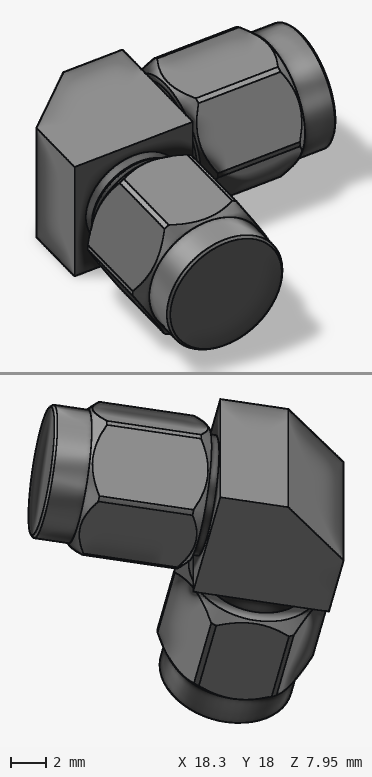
import cadquery as cq
import math


overall_x = 18.34
overall_y = 17.97

block_x = 7.65
block_y = 7.85
block_z = 7.95
bevel_x = 3.5
bevel_y = block_y / 2

nut_across_flats = 7.95
nut_corner_diameter = 8.99
nut_face_diameter = 7.7
nut_bevel_length = 0.73

sleeve_edge_chamfer = 0.15

x_arm_neck_diameter = 6.35
x_arm_nut_start = 5.47
x_arm_nut_length = 6.35
x_arm_sleeve_diameter = 7.68
x_arm_end = overall_x - nut_corner_diameter / 2
groove_center = 4.5
groove_width = 0.07
groove_depth = 0.15

y_arm_neck_diameter = 6.91
y_arm_nut_start = 4.44
y_arm_nut_length = 6.91
y_arm_sleeve_diameter = 7.65
y_arm_end = overall_y - nut_corner_diameter / 2


def cylinder(diameter, start, end):
    """Cylinder on the Z axis between two heights."""
    return cq.Workplane("XY").workplane(offset=start).circle(diameter / 2).extrude(end - start)


def make_block():
    left, right = -block_x / 2, block_x / 2
    front, back = -block_y / 2, block_y / 2
    outline = [
        (left, back),
        (right, back),
        (right, front),
        (left + bevel_x, front),
        (left, front + bevel_y),
    ]
    return cq.Workplane("XY").polyline(outline).close().extrude(block_z / 2, both=True)


def make_nut(start, length):
    """Hexagon along Z with flats facing +/-Y, its corners bevelled by a turned profile."""
    point_to_point = nut_across_flats / math.cos(math.pi / 6)
    hexagon = cq.Workplane("XY").workplane(offset=start).polygon(6, point_to_point).extrude(length)
    corner_radius = nut_corner_diameter / 2
    face_radius = nut_face_diameter / 2
    end = start + length
    turned = (
        cq.Workplane("XZ")
        .moveTo(0, start)
        .lineTo(face_radius, start)
        .lineTo(corner_radius, start + nut_bevel_length)
        .lineTo(corner_radius, end - nut_bevel_length)
        .lineTo(face_radius, end)
        .lineTo(0, end)
        .close()
        .revolve(360, (0, 0, 0), (0, 1, 0))
    )
    return hexagon.intersect(turned)


def make_arm(neck_diameter, nut_start, nut_length, sleeve_diameter, end):
    """Neck, nut and sleeve stacked along +Z from the origin."""
    nut_end = nut_start + nut_length
    neck = cylinder(neck_diameter, 0, nut_start)
    nut = make_nut(nut_start, nut_length)
    sleeve = cylinder(sleeve_diameter, nut_end, end).faces(">Z").chamfer(sleeve_edge_chamfer)
    return neck.union(nut).union(sleeve)


def make_neck_groove():
    """Ring removed from the neck of the X arm, built along +Z."""
    start = groove_center - groove_width / 2
    end = groove_center + groove_width / 2
    core = cylinder(x_arm_neck_diameter - 2 * groove_depth, start, end)
    return cylinder(x_arm_neck_diameter, start, end).cut(core)


x_arm = make_arm(
    x_arm_neck_diameter, x_arm_nut_start, x_arm_nut_length, x_arm_sleeve_diameter, x_arm_end
)
x_arm = x_arm.cut(make_neck_groove())
x_arm = x_arm.rotate((0, 0, 0), (0, 1, 0), 90).rotate((0, 0, 0), (1, 0, 0), 90)

y_arm = make_arm(
    y_arm_neck_diameter, y_arm_nut_start, y_arm_nut_length, y_arm_sleeve_diameter, y_arm_end
)
y_arm = y_arm.rotate((0, 0, 0), (1, 0, 0), -90)

result = make_block().union(x_arm).union(y_arm)